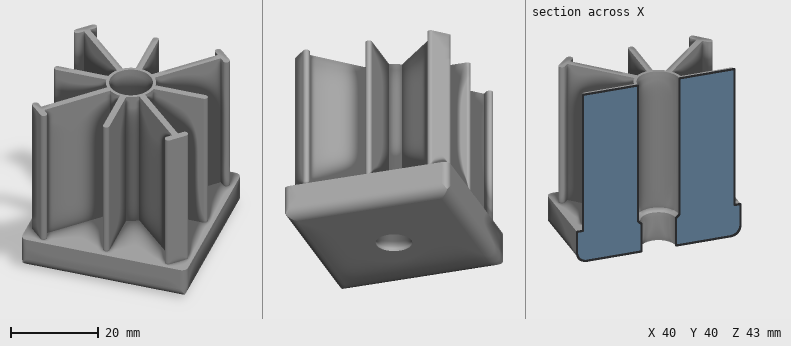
import cadquery as cq

width = 40.0
height = 43.0

plate_height = 8.0
corner_radius = 1.5
bottom_radius = 2.5

hub_diameter = 11.48
bore_top_diameter = 10.0
bore_bottom_diameter = 8.4

rib_thickness = 1.5
rib_reach = 18.5
crossbar_offset = 23.35
crossbar_thickness = 1.6
crossbar_length = 5.75

rib_height = height - plate_height


def rounded_bottom_bar(plane, long_edges):
    """Bar of the plate's side outline, with both lower long edges rounded."""
    return (
        cq.Workplane(plane)
        .center(0, plate_height / 2)
        .rect(width, plate_height)
        .extrude(width / 2, both=True)
        .faces("<Z")
        .edges(long_edges)
        .fillet(bottom_radius)
    )


def cap_plate():
    """Plate whose rounded lower edges meet in mitres at the rounded corners."""
    prism = cq.Workplane("XY").rect(width, width).extrude(plate_height)
    prism = prism.edges("|Z").fillet(corner_radius)
    prism = prism.intersect(rounded_bottom_bar("XZ", "|Y"))
    return prism.intersect(rounded_bottom_bar("YZ", "|X"))


def straight_rib():
    """Rib along +X from the axis, ending in a full-round tip."""
    tip_radius = rib_thickness / 2
    return (
        cq.Workplane("XY", origin=(0, 0, plate_height))
        .moveTo(0, -tip_radius)
        .lineTo(rib_reach - tip_radius, -tip_radius)
        .threePointArc((rib_reach, 0), (rib_reach - tip_radius, tip_radius))
        .lineTo(0, tip_radius)
        .close()
        .extrude(rib_height)
    )


def corner_rib():
    """T-shaped rib along +X from the axis, ending in a round-ended crossbar."""
    base = cq.Workplane("XY", origin=(0, 0, plate_height))
    web = base.rect(crossbar_offset, rib_thickness).extrude(rib_height)
    web = web.translate((crossbar_offset / 2, 0, 0))
    crossbar = (
        cq.Workplane("XY", origin=(crossbar_offset, 0, plate_height))
        .slot2D(crossbar_length, crossbar_thickness, 90)
        .extrude(rib_height)
    )
    return web.union(crossbar)


def stepped_bore():
    """Through-bore core: wide in the hub, stepping down conically at the plate."""
    taper_height = (bore_top_diameter - bore_bottom_diameter) / 2
    half_section = [
        (0, 0),
        (bore_bottom_diameter / 2, 0),
        (bore_bottom_diameter / 2, plate_height - taper_height),
        (bore_top_diameter / 2, plate_height),
        (bore_top_diameter / 2, height),
        (0, height),
    ]
    return cq.Workplane("XZ").polyline(half_section).close().revolve(360, (0, 0, 0), (0, 1, 0))


result = cap_plate()
result = result.union(cq.Workplane("XY").circle(hub_diameter / 2).extrude(height))
for quarter_turn in range(4):
    angle = 90 * quarter_turn
    result = result.union(straight_rib().rotate((0, 0, 0), (0, 0, 1), angle))
    result = result.union(corner_rib().rotate((0, 0, 0), (0, 0, 1), angle + 45))
result = result.cut(stepped_bore())